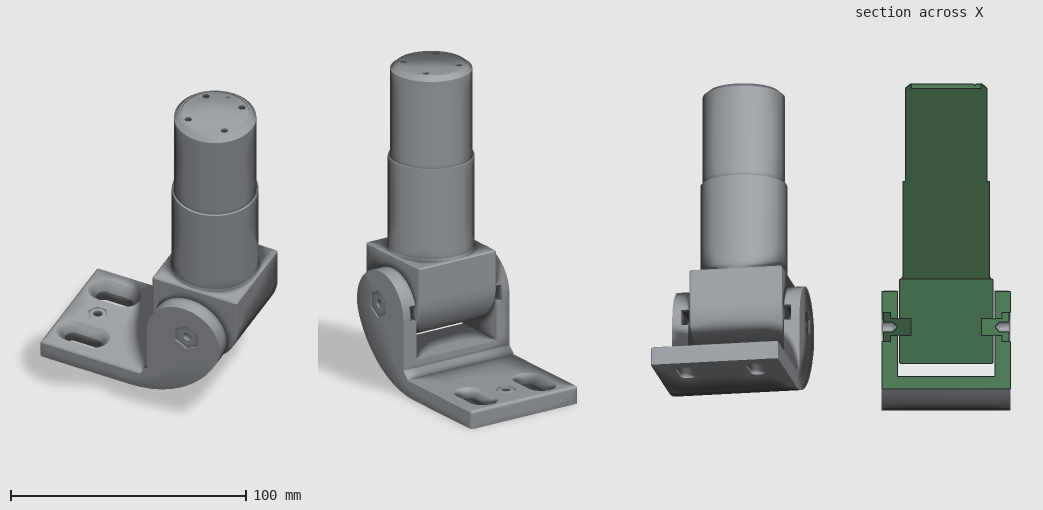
import cadquery as cq
import math


total_height = 139.0
bracket_width = 55.0
foot_end_x = -69.5
foot_thickness = 8.0
edge_chamfer = 0.5
end_rounding = 1.4

arm_gap = 41.4
arm_face_x = -18.8
arm_radius = 17.2
arm_center_z = 33.6
heel_radius = 45.0
corner_chamfer = 3.0
window_floor_z = 14.6

block_size = 40.0
block_top_z = 56.0
block_round_z = 40.0
block_chamfer = 0.5

pivot_z = 35.6
shank_diameter = 7.0
shank_depth_in_block = 5.0
pin_hex_flats = 10.8
pin_recess = 0.7
entry_slot_depth = 3.0
pin_hole_diameter = 4.0
pin_hole_depth = 4.2

slot_center_x = -55.0
slot_offset_y = 15.2
slot_straight = 10.4
slot_width = 6.3
slot_sink_width = 13.3

nut_x = -55.6
nut_flats = 7.6
nut_height = 3.3
nut_face_diameter = 6.5
nut_bevel_height = 0.7
nut_bore_diameter = 4.0

lower_radius = 18.5
upper_radius = 17.5
flare_radius = 19.0
flare_height = 1.1
step_z = 97.6
rim_radius = 15.2
bevel_height = 2.0

cap_radius = 14.7
cap_chamfer = 0.4
cap_thickness = 2.0
cap_hole_circle = 12.1
cap_hole_diameter = 3.0
cap_dimple_diameter = 2.0

half_width = bracket_width / 2
half_gap = arm_gap / 2
half_block = block_size / 2
arm_center_x = arm_face_x + arm_radius
slot_floor_y = half_gap + entry_slot_depth
head_outer_y = half_width - pin_recess
shank_inner_y = half_block - shank_depth_in_block
heel_center_x = arm_center_x - math.sqrt(
    (heel_radius - arm_radius) ** 2 - (heel_radius - arm_center_z) ** 2
)
SIDES = (-1, 1)


def across_corners(flats):
    """Corner-to-corner size of a hexagon with the given size across flats."""
    return flats / math.cos(math.radians(30))


def bar_along_y(sketch, side, y_start, y_end):
    """Extrude a closed XZ sketch between two distances from the mid plane, on one side."""
    bar = sketch.extrude(-(y_end - y_start)).translate((0, y_start, 0))
    return bar if side > 0 else bar.mirror("XZ")


def pivot_sketch():
    return cq.Workplane("XZ").center(0, pivot_z)


def pin_hexagon():
    """Hexagon about the pivot axis with corners at top and bottom."""
    corner_radius = across_corners(pin_hex_flats) / 2
    corners = [math.radians(30 + 60 * i) for i in range(6)]
    return pivot_sketch().polyline(
        [(corner_radius * math.cos(a), corner_radius * math.sin(a)) for a in corners]
    ).close()


def shank_bar(side, y_start, y_end):
    return bar_along_y(pivot_sketch().circle(shank_diameter / 2), side, y_start, y_end)


def bracket_blank():
    """Side outline of foot and arms, extruded over the full width."""
    heel_end = math.atan2(arm_center_z - heel_radius, arm_center_x - heel_center_x)
    heel_mid = (heel_end - math.pi / 2) / 2
    arm_mid = (heel_end + math.pi) / 2

    def on_heel(angle):
        return (heel_center_x + heel_radius * math.cos(angle), heel_radius * (1 + math.sin(angle)))

    def on_arm(angle):
        return (arm_center_x + arm_radius * math.cos(angle), arm_center_z + arm_radius * math.sin(angle))

    return (
        cq.Workplane("XZ")
        .moveTo(foot_end_x, 0)
        .lineTo(heel_center_x, 0)
        .threePointArc(on_heel(heel_mid), on_heel(heel_end))
        .threePointArc(on_arm(arm_mid), (arm_face_x, arm_center_z))
        .lineTo(arm_face_x, foot_thickness + corner_chamfer)
        .lineTo(arm_face_x - corner_chamfer, foot_thickness)
        .lineTo(foot_end_x, foot_thickness)
        .close()
        .extrude(half_width, both=True)
    )


def dress_foot(body):
    """Round the top edge of the free end, then chamfer the end corners and the long top edges."""
    end_edge = cq.selectors.NearestToPointSelector((foot_end_x, 0, foot_thickness))
    body = body.edges(end_edge).fillet(end_rounding)
    body = body.faces("<X").edges("|Z").chamfer(edge_chamfer)
    chamfer_start_x = foot_end_x + end_rounding
    chamfer_length = arm_face_x - corner_chamfer - chamfer_start_x
    for side in SIDES:
        corner = (
            cq.Workplane("YZ", origin=(chamfer_start_x, 0, 0))
            .moveTo(side * half_width, foot_thickness)
            .lineTo(side * (half_width - edge_chamfer), foot_thickness)
            .lineTo(side * half_width, foot_thickness - edge_chamfer)
            .close()
            .extrude(chamfer_length)
        )
        body = body.cut(corner)
    return body


def arm_window():
    return cq.Workplane("XY").box(
        2 * block_size, arm_gap, total_height, centered=(True, True, False)
    ).translate((0, 0, window_floor_z))


def pin_seat(side):
    """Hexagonal hole for a pin head and the open slot that leads its shank to the pivot."""
    seat = bar_along_y(pin_hexagon(), side, slot_floor_y, half_width)
    entry = pivot_sketch().center(arm_face_x / 2, 0).rect(-arm_face_x, shank_diameter)
    seat = seat.union(bar_along_y(entry, side, half_gap, slot_floor_y))
    return seat.union(shank_bar(side, half_gap, slot_floor_y))


def foot_slot(side):
    """Mounting slot with a 45 degree countersink."""
    center = (slot_center_x, side * slot_offset_y)
    through = cq.Workplane("XY").center(*center).slot2D(slot_straight + slot_width, slot_width)
    through = through.extrude(foot_thickness)
    sink_depth = (slot_sink_width - slot_width) / 2
    sink = (
        cq.Workplane("XY", origin=(0, 0, foot_thickness))
        .center(*center)
        .slot2D(slot_straight + slot_sink_width, slot_sink_width)
        .extrude(-sink_depth, taper=45)
    )
    return through.union(sink)


def nut_hexagon():
    """Hexagonal bar that fills the nut pocket, open to the top of the foot."""
    return (
        cq.Workplane("XY", origin=(nut_x, 0, foot_thickness - nut_height))
        .polygon(6, across_corners(nut_flats))
        .extrude(nut_height)
    )


def make_bracket():
    body = dress_foot(bracket_blank()).cut(arm_window()).cut(nut_hexagon())
    for side in SIDES:
        body = body.cut(pin_seat(side)).cut(foot_slot(side))
    return body


def make_block():
    """Square block with a half-round underside and a blind bore for each pin."""
    body = (
        cq.Workplane("XZ")
        .moveTo(-half_block, block_top_z)
        .lineTo(-half_block, block_round_z)
        .threePointArc((0, block_round_z - half_block), (half_block, block_round_z))
        .lineTo(half_block, block_top_z)
        .close()
        .extrude(half_block, both=True)
        .faces("<Y or >Y or >Z")
        .edges()
        .chamfer(block_chamfer)
    )
    for side in SIDES:
        body = body.cut(shank_bar(side, shank_inner_y, half_block))
    return body


def make_pin(side):
    """Hexagonal head with a round shank and a drilled hole with a conical tip."""
    head = bar_along_y(pin_hexagon(), side, slot_floor_y, head_outer_y)
    body = head.union(shank_bar(side, shank_inner_y, slot_floor_y))
    hole_radius = pin_hole_diameter / 2
    tip_y = head_outer_y - pin_hole_depth - hole_radius
    hole = (
        cq.Workplane("XY")
        .moveTo(0, tip_y)
        .lineTo(hole_radius, head_outer_y - pin_hole_depth)
        .lineTo(hole_radius, head_outer_y)
        .lineTo(0, head_outer_y)
        .close()
        .revolve(360, (0, 0), (0, 1))
        .translate((0, 0, pivot_z))
    )
    return body.cut(hole if side > 0 else hole.mirror("XZ"))


def make_nut():
    """Nut in the foot pocket, with its top corners bevelled to a circle."""
    corner_radius = across_corners(nut_flats) / 2
    bevel = (
        cq.Workplane("XZ")
        .moveTo(nut_bore_diameter / 2, 0)
        .lineTo(corner_radius, 0)
        .lineTo(corner_radius, nut_height - nut_bevel_height)
        .lineTo(nut_face_diameter / 2, nut_height)
        .lineTo(nut_bore_diameter / 2, nut_height)
        .close()
        .revolve(360, (0, 0), (0, 1))
        .translate((nut_x, 0, foot_thickness - nut_height))
    )
    return nut_hexagon().intersect(bevel)


def make_post():
    """Stepped round post with a flared foot, a bevelled end and a seat for the cap."""
    seat_z = total_height - cap_thickness
    return (
        cq.Workplane("XZ")
        .moveTo(0, block_top_z)
        .lineTo(flare_radius, block_top_z)
        .lineTo(lower_radius, block_top_z + flare_height)
        .lineTo(lower_radius, step_z)
        .lineTo(upper_radius, step_z)
        .lineTo(upper_radius, total_height - bevel_height)
        .lineTo(rim_radius, total_height)
        .lineTo(cap_radius, total_height)
        .lineTo(cap_radius, seat_z)
        .lineTo(0, seat_z)
        .close()
        .revolve(360, (0, 0), (0, 1))
    )


def make_cap():
    """Round cap with four through holes and one conical dimple on the same circle."""
    dimple_radius = cap_dimple_diameter / 2
    dimple = cq.Solid.makeCone(
        0, dimple_radius, dimple_radius, pnt=cq.Vector(0, cap_hole_circle, total_height - dimple_radius)
    )
    return (
        cq.Workplane("XY", origin=(0, 0, total_height - cap_thickness))
        .circle(cap_radius)
        .extrude(cap_thickness)
        .faces(">Z")
        .chamfer(cap_chamfer)
        .faces(">Z")
        .workplane()
        .polarArray(cap_hole_circle, 45, 360, 4)
        .hole(cap_hole_diameter)
        .cut(cq.Workplane(obj=dimple))
    )


bracket = make_bracket()
block = make_block()
pins = [make_pin(side) for side in SIDES]
nut = make_nut()
post = make_post()
cap = make_cap()

result = cq.Compound.makeCompound([
    bracket.val(),
    block.val(),
    *[pin.val() for pin in pins],
    nut.val(),
    post.val(),
    cap.val(),
])